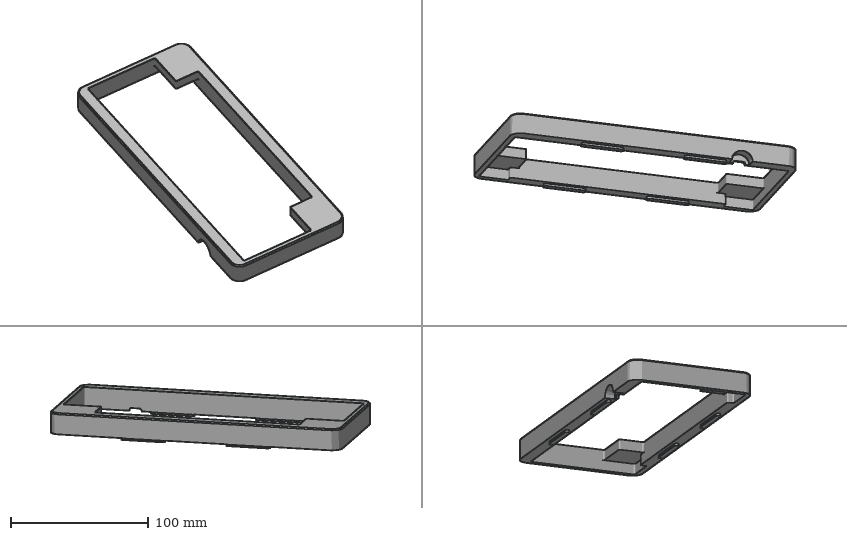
import math

import cadquery as cq

LENGTH = 219.55
WIDTH = 96.2
HEIGHT = 16.0
CORNER_RADIUS = 8.0
TOP_CHAMFER = 1.0

SIDE_WALL = 4.3
END_WALL = 9.5
WINDOW_RADIUS = 1.0
WINDOW_CHAMFER = 0.2

BLOCK_LENGTH = 28.5
BLOCK_WIDTH = 19.2
BLOCK_THICKNESS = 8.0

POCKET_OFFSET = 6.0
POCKET_DEPTH = 5.0

PLUG_X = 66.6
PLUG_RADIUS = 7.9
PLUG_INNER_RADIUS = 7.7
PLUG_AXIS_Z = -0.4
PLUG_DEPTH = 7.5
CONNECTOR_LENGTH = 9.6
CONNECTOR_HEIGHT = 4.2

FOOT_SPACING = 79.3
FOOT_EDGE_DISTANCE = 4.9
FOOT_LENGTH = 33.0
FOOT_WIDTH = 4.2
FOOT_HEIGHT = 2.0
FOOT_UNDERCUT = 0.5

WINDOW_SIDE_X = LENGTH / 2 - SIDE_WALL
BLOCK_END_X = WINDOW_SIDE_X - BLOCK_LENGTH
FRONT_FACE_Y = -WIDTH / 2
WINDOW_FRONT_Y = FRONT_FACE_Y + END_WALL
WINDOW_REAR_Y = -WINDOW_FRONT_Y
BLOCK_FRONT_Y = WINDOW_REAR_Y - BLOCK_WIDTH
BLOCK_BOTTOM_Z = HEIGHT - BLOCK_THICKNESS
FOOT_TAPER = math.degrees(math.atan(FOOT_UNDERCUT / FOOT_HEIGHT))
SIDES = (-1, 1)


def make_body():
    """Solid slab with rounded corners and a chamfered top rim."""
    return (
        cq.Workplane("XY")
        .rect(LENGTH, WIDTH)
        .extrude(HEIGHT)
        .edges("|Z")
        .fillet(CORNER_RADIUS)
        .faces(">Z")
        .edges()
        .chamfer(TOP_CHAMFER)
    )


def make_opening(right_half, bottom_z, depth):
    """Cutter from the right half of an outline, mirrored in X, with rounded corners."""
    left_half = [(-x, y) for x, y in reversed(right_half)]
    return (
        cq.Workplane("XY")
        .workplane(offset=bottom_z)
        .polyline(right_half + left_half)
        .close()
        .extrude(depth)
        .edges("|Z")
        .fillet(WINDOW_RADIUS)
    )


def make_upper_window():
    """Opening at block height, narrowed at the rear by the two blocks."""
    right_half = [
        (WINDOW_SIDE_X, WINDOW_FRONT_Y),
        (WINDOW_SIDE_X, BLOCK_FRONT_Y),
        (BLOCK_END_X, BLOCK_FRONT_Y),
        (BLOCK_END_X, WINDOW_REAR_Y),
    ]
    return make_opening(right_half, BLOCK_BOTTOM_Z, BLOCK_THICKNESS)


def make_lower_window():
    """Opening below the blocks, widened at the rear by the two pockets."""
    pocket_end_x = BLOCK_END_X + POCKET_OFFSET
    pocket_rear_y = WINDOW_REAR_Y + POCKET_DEPTH
    right_half = [
        (WINDOW_SIDE_X, WINDOW_FRONT_Y),
        (WINDOW_SIDE_X, pocket_rear_y),
        (pocket_end_x, pocket_rear_y),
        (pocket_end_x, WINDOW_REAR_Y),
    ]
    return make_opening(right_half, 0, BLOCK_BOTTOM_Z)


def chamfer_window_rim(frame):
    """Break the sharp edge where the window meets the top face."""
    rim = cq.Workplane(frame.faces(">Z").val().innerWires()[0]).edges()
    return frame.newObject(rim.vals()).chamfer(WINDOW_CHAMFER)


def make_plug_recess():
    """Slightly conical recess for the plug, running inward from the front face."""
    return (
        cq.Workplane("XZ", origin=(PLUG_X, FRONT_FACE_Y, PLUG_AXIS_Z))
        .circle(PLUG_RADIUS)
        .workplane(offset=-PLUG_DEPTH)
        .circle(PLUG_INNER_RADIUS)
        .loft()
    )


def make_connector_opening():
    """Slot for the connector, running through the whole front wall."""
    return (
        cq.Workplane("XZ", origin=(PLUG_X, FRONT_FACE_Y, 0))
        .slot2D(CONNECTOR_LENGTH, CONNECTOR_HEIGHT)
        .extrude(-END_WALL)
    )


def make_foot(x, y):
    """Round-ended foot that tapers from its bottom face up to the frame."""
    return (
        cq.Workplane("XY", origin=(x, y, -FOOT_HEIGHT))
        .slot2D(FOOT_LENGTH, FOOT_WIDTH)
        .extrude(FOOT_HEIGHT, taper=FOOT_TAPER)
    )


result = make_body()
result = result.cut(make_upper_window())
result = chamfer_window_rim(result)
result = result.cut(make_lower_window())
result = result.cut(make_plug_recess())
result = result.cut(make_connector_opening())

for side_x in SIDES:
    for side_y in SIDES:
        foot_x = side_x * FOOT_SPACING / 2
        foot_y = side_y * (WIDTH / 2 - FOOT_EDGE_DISTANCE)
        result = result.union(make_foot(foot_x, foot_y))